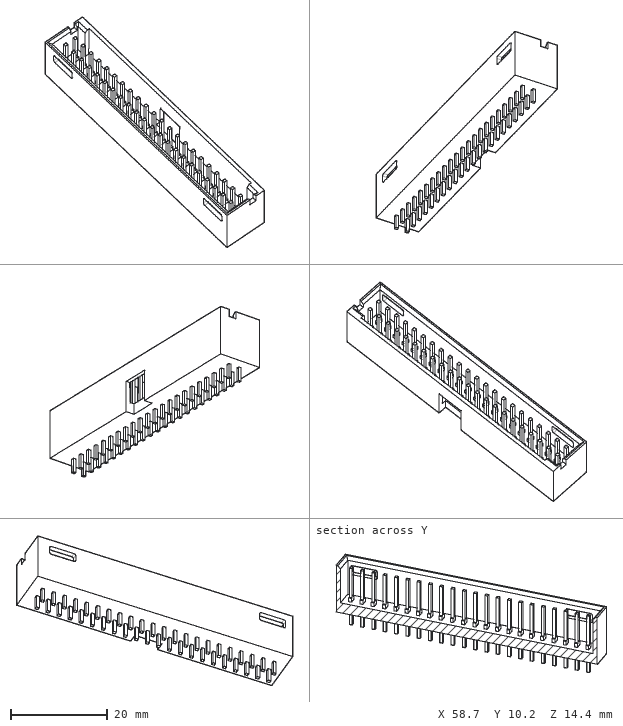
import cadquery as cq

length = 58.7
width = 10.15
height = 11.15
floor_thickness = 2.45

end_wall = 1.0
front_wall = 1.1
end_rim = 0.4
front_rim = 0.35
back_wall_foot = 1.05
back_wall_top = 0.9
bevel_depth = 0.65

rib_reach = 3.25
rib_back = 2.0
rib_rim = 1.4

columns = 22
pin_size = 0.65
pin_margin = 2.7
pin_tail = 3.2
pin_tip_drop = 0.95
row_distances = (4.2, 6.8)
collar_length = 1.35
collar_height = 0.9

notch_width = 1.65
notch_depth = 1.65
notch_from_back = 2.3

window_width = 6.2
window_height = 7.1
window_depth = 2.0

slot_length = 6.0
slot_height = 2.1
slot_drop = 1.75
left_slot_from_end = 2.75
right_slot_from_end = 1.65
slot_corner = 0.4

x_min = -length / 2
y_back = width / 2
y_front = -width / 2


def block(x0, x1, y0, y1, z0, z1):
    """Box between opposite corner coordinates."""
    return cq.Workplane("XY").box(x1 - x0, y1 - y0, z1 - z0, centered=False).translate((x0, y0, z0))


def cavity():
    """Bevelled full-length opening in front of the ribs plus the deeper opening between them."""
    y0 = y_front + front_wall
    half_full = length / 2 - end_wall
    half_rim = length / 2 - end_rim
    half_between_ribs = length / 2 - rib_reach
    full = block(-half_full, half_full, y0, y_back - rib_back, floor_thickness, height)
    bevel = (
        cq.Workplane("XY", origin=(0, 0, height - bevel_depth))
        .moveTo(-half_full, y0)
        .lineTo(half_full, y0)
        .lineTo(half_full, y_back - rib_back)
        .lineTo(-half_full, y_back - rib_back)
        .close()
        .workplane(offset=bevel_depth)
        .moveTo(-half_rim, y_front + front_rim)
        .lineTo(half_rim, y_front + front_rim)
        .lineTo(half_rim, y_back - rib_rim)
        .lineTo(-half_rim, y_back - rib_rim)
        .close()
        .loft(ruled=True)
    )
    between_ribs = (
        cq.Workplane("YZ", origin=(-half_between_ribs, 0, 0))
        .moveTo(y0, floor_thickness)
        .lineTo(y_back - back_wall_foot, floor_thickness)
        .lineTo(y_back - back_wall_top, height)
        .lineTo(y0, height)
        .close()
        .extrude(2 * half_between_ribs)
    )
    return full.union(bevel).union(between_ribs)


def end_notches():
    """One cutter through both end walls."""
    y1 = y_back - notch_from_back
    return block(x_min, -x_min, y1 - notch_width, y1, height - notch_depth, height)


def polarising_window():
    return block(-window_width / 2, window_width / 2, y_back - window_depth, y_back, 0, window_height)


def latch_slot(x_centre):
    """Round-cornered slot through the front wall."""
    slot = cq.Workplane("XY").box(slot_length, front_wall, slot_height).edges("|Y").fillet(slot_corner)
    return slot.translate((x_centre, y_front + front_wall / 2, height - slot_drop - slot_height / 2))


housing = block(x_min, -x_min, y_front, y_back, 0, height)
housing = housing.cut(cavity()).cut(end_notches()).cut(polarising_window())
left_slot_centre = x_min + left_slot_from_end + slot_length / 2
right_slot_centre = -x_min - right_slot_from_end - slot_length / 2
for x_centre in (left_slot_centre, right_slot_centre):
    housing = housing.cut(latch_slot(x_centre))

pitch = (length - 2 * pin_margin) / (columns - 1)
pin_points = [
    (x_min + pin_margin + column * pitch, y_back - distance)
    for distance in row_distances
    for column in range(columns)
]

collars = (
    cq.Workplane("XY", origin=(0, 0, floor_thickness))
    .pushPoints(pin_points)
    .rect(pin_size, collar_length)
    .extrude(collar_height)
)

pins = (
    cq.Workplane("XY", origin=(0, 0, -pin_tail))
    .pushPoints(pin_points)
    .rect(pin_size, pin_size)
    .extrude(pin_tail + height - pin_tip_drop)
)

result = housing.union(collars).union(pins)